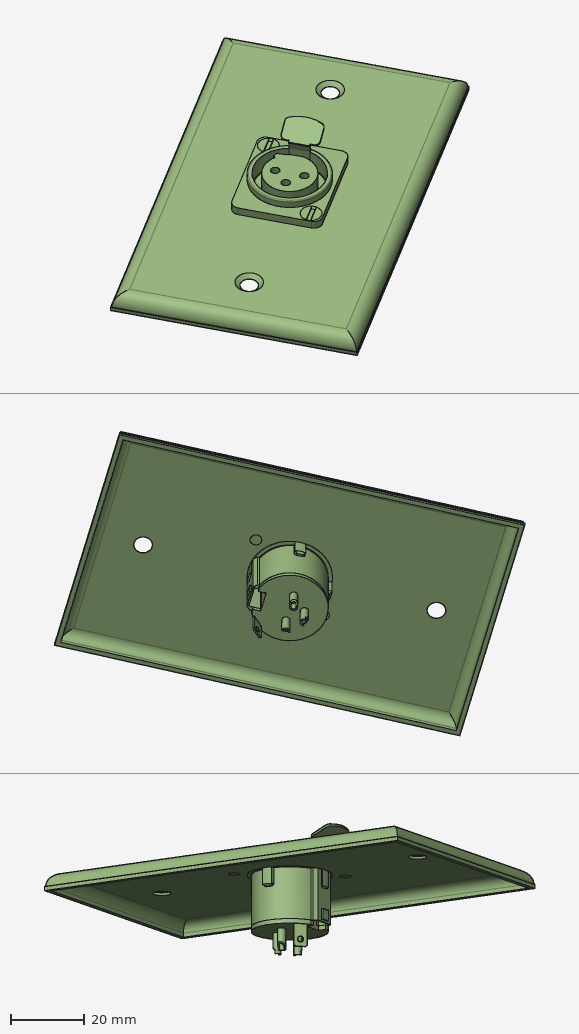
import cadquery as cq
import math

PLATE_X = 69.8
PLATE_Y = 114.3
PLATE_TOP = 5.1
WALL = 1.1
RIM_BAND = 1.1
RIM_LEDGE = 0.2
PLATE_UNDERSIDE = PLATE_TOP - WALL
MOUNT_Y = 41.4
MOUNT_BORE_R = 2.5
MOUNT_SINK_R = 3.9

FLANGE_X = 25.6
FLANGE_Y = 30.4
FLANGE_CORNER_R = 2.4
FLANGE_THICKNESS = 2.4
FLANGE_TOP = PLATE_TOP + FLANGE_THICKNESS
RING_HEIGHT = 2.3
RING_TOP = FLANGE_TOP + RING_HEIGHT
RING_R = 11.7
RING_EDGE_FILLET = 0.3
BORE_R = 10.3
BARREL_R = 10.5
BARREL_BOTTOM = -10.5
LUG_WIDTH = 3.0
LUG_BOTTOM = -1.1
LUG_CHAMFER = 0.6

CHANNEL_X = 8.5
CHANNEL_Y = 11.2
CHANNEL_CHAMFER = 1.0
NUB_X = 3.0
NUB_Y = 11.7
NUB_TOP = -7.0
NUB_BOTTOM = -10.0
SLOT_X = 6.0
SLOT_NEAR_Y = 7.4
SLOT_FAR_Y = 10.7

INSERT_R = 7.7
CAP_BOTTOM = -11.8
CAP_FLAT_Y = 9.6
KEY_POINTS = [(-3.0, 5.1), (-5.6, 5.1), (-6.2, 5.8), (-5.6, 6.9), (-3.0, 7.1)]
CONTACT_RADIUS = 4.1
CONTACT_ANGLES = (0, 180, 270)
SOCKET_R = 1.3
SOCKET_DEPTH = 5.7
TERMINAL_R = 1.1
TERMINAL_BOTTOM = -17.6
CUP_R = 0.7
CUP_TOP = -14.7
CUP_OPENING_TOP = -15.5

GROUND_X = 6.4
GROUND_Y = 7.5
GROUND_ANGLE = 45
GROUND_WIDTH = 3.8
GROUND_THICKNESS = 0.5
GROUND_BOTTOM = -18.1
GROUND_CHAMFER = 0.5
GROUND_HOLE_R = 0.8
GROUND_HOLE_Z = -16.0

LATCH_THICKNESS = 0.7
STEM_X = SLOT_X
STEM_BOTTOM = -5.7
STEM_LEAN_Y = 0.5
BEND_Z = 12.2
CATCH_X = 3.8
CATCH_NEAR_Y = 8.9
CATCH_TOP = 2.3
CATCH_HEIGHT = 1.1
TAB_X = 11.1
TAB_NECK = 0.6
TAB_SIDE_END = 7.0
TAB_TIP = 8.2
TAB_ANGLE = 24.5
TAB_CORNER_R = 1.5

SCREW_X = 9.4
SCREW_Y = 12.0
SCREW_PLACES = [(-SCREW_X, SCREW_Y), (SCREW_X, -SCREW_Y)]
SCREW_HEAD_R = 3.0
SCREW_SHANK_R = 1.6
SCREW_CONE_HEIGHT = SCREW_HEAD_R - SCREW_SHANK_R
SCREW_SLOT_WIDTH = 1.3
SCREW_SLOT_DEPTH = 0.6


def cylinder(radius, bottom, top, x=0, y=0):
    return cq.Workplane("XY", origin=(x, y, bottom)).circle(radius).extrude(top - bottom)


def block(x_range, y_range, z_range):
    sizes = [high - low for low, high in (x_range, y_range, z_range)]
    corner = (x_range[0], y_range[0], z_range[0])
    return cq.Workplane("XY").box(*sizes, centered=False).translate(corner)


def centred_range(width):
    return (-width / 2, width / 2)


def rounded_bar(plane, width, top, length):
    """A long bar with upright lower sides and quarter-round upper edges."""
    half = width / 2
    radius = top - RIM_BAND
    flat_x = half - radius
    mid_x = flat_x + radius * math.cos(math.pi / 4)
    mid_z = RIM_BAND + radius * math.sin(math.pi / 4)
    return (
        cq.Workplane(plane)
        .moveTo(-half, 0)
        .lineTo(half, 0)
        .lineTo(half, RIM_BAND)
        .threePointArc((mid_x, mid_z), (flat_x, top))
        .lineTo(-flat_x, top)
        .threePointArc((-mid_x, mid_z), (-half, RIM_BAND))
        .close()
        .extrude(length / 2, both=True)
    )


def domed_panel(inset, top):
    """A panel with rounded rims and mitred corners, set in from the plate's outer edge."""
    size_x = PLATE_X - 2 * inset
    size_y = PLATE_Y - 2 * inset
    across = rounded_bar("XZ", size_x, top, size_y)
    along = rounded_bar("YZ", size_y, top, size_x)
    return across.intersect(along)


def make_plate():
    rim = block(centred_range(PLATE_X), centred_range(PLATE_Y), (0, RIM_BAND))
    plate = rim.union(domed_panel(RIM_LEDGE, PLATE_TOP))
    plate = plate.cut(domed_panel(RIM_LEDGE + WALL, PLATE_UNDERSIDE))
    plate = plate.cut(cylinder(RING_R, 0, PLATE_TOP))
    for y in (-MOUNT_Y, MOUNT_Y):
        cone = cq.Solid.makeCone(MOUNT_BORE_R, MOUNT_SINK_R, WALL, pnt=cq.Vector(0, y, PLATE_UNDERSIDE))
        plate = plate.cut(cq.Workplane(cone))
    for x, y in SCREW_PLACES:
        plate = plate.cut(cylinder(SCREW_SHANK_R, PLATE_UNDERSIDE, PLATE_TOP, x, y))
    return plate


def screw_blank(x, y):
    """Countersunk head flush with the flange, and a shank through the plate."""
    cone_bottom = FLANGE_TOP - SCREW_CONE_HEIGHT
    cone = cq.Solid.makeCone(SCREW_SHANK_R, SCREW_HEAD_R, SCREW_CONE_HEIGHT, pnt=cq.Vector(x, y, cone_bottom))
    return cylinder(SCREW_SHANK_R, PLATE_UNDERSIDE, cone_bottom, x, y).union(cq.Workplane(cone))


def make_screw(x, y):
    slot = block(
        centred_range(SCREW_SLOT_WIDTH),
        centred_range(2 * SCREW_HEAD_R),
        (FLANGE_TOP - SCREW_SLOT_DEPTH, FLANGE_TOP),
    )
    return screw_blank(x, y).cut(slot.translate((x, y, 0)))


def make_lug():
    """A rib on the -Y side of the barrel with a tapered lower end."""
    lug = block(centred_range(LUG_WIDTH), (-RING_R, -INSERT_R), (LUG_BOTTOM, PLATE_UNDERSIDE))
    lug = lug.faces("<Z").edges("|Y or <Y").chamfer(LUG_CHAMFER)
    return lug.intersect(cylinder(RING_R, LUG_BOTTOM, PLATE_UNDERSIDE))


def make_channel():
    """The box on the +Y side of the barrel that encloses the latch."""
    channel = block(centred_range(CHANNEL_X), (0, CHANNEL_Y), (BARREL_BOTTOM, PLATE_UNDERSIDE))
    channel = channel.edges("|Z and >Y").chamfer(CHANNEL_CHAMFER)
    nub = block(centred_range(NUB_X), (SLOT_FAR_Y, NUB_Y), (NUB_BOTTOM, NUB_TOP))
    return channel.union(nub)


def latch_slot():
    return block(centred_range(SLOT_X), (SLOT_NEAR_Y, SLOT_FAR_Y), (CAP_BOTTOM, RING_TOP))


def make_housing():
    flange = (
        cq.Workplane("XY", origin=(0, 0, PLATE_TOP))
        .rect(FLANGE_X, FLANGE_Y)
        .extrude(FLANGE_THICKNESS)
        .edges("|Z")
        .fillet(FLANGE_CORNER_R)
    )
    ring = cylinder(RING_R, PLATE_UNDERSIDE, RING_TOP).faces(">Z").edges().fillet(RING_EDGE_FILLET)
    barrel = cylinder(BARREL_R, BARREL_BOTTOM, PLATE_UNDERSIDE)
    housing = flange.union(ring).union(barrel).union(make_channel())
    for quarter in range(4):
        housing = housing.union(make_lug().rotate((0, 0, 0), (0, 0, 1), 90 * quarter))
    housing = housing.cut(cylinder(BORE_R, PLATE_UNDERSIDE, RING_TOP))
    housing = housing.cut(cylinder(INSERT_R, BARREL_BOTTOM, PLATE_UNDERSIDE))
    housing = housing.cut(latch_slot())
    for x, y in SCREW_PLACES:
        housing = housing.cut(screw_blank(x, y))
    return housing


def make_terminal():
    """A solder cup on the +X side, its lower end cut open outward."""
    terminal = cylinder(TERMINAL_R, TERMINAL_BOTTOM, CAP_BOTTOM)
    terminal = terminal.cut(cylinder(CUP_R, TERMINAL_BOTTOM, CUP_TOP))
    opening = (
        cq.Workplane("XZ")
        .moveTo(0, TERMINAL_BOTTOM)
        .lineTo(TERMINAL_R, TERMINAL_BOTTOM)
        .lineTo(TERMINAL_R, CUP_OPENING_TOP)
        .lineTo(0, CUP_OPENING_TOP - TERMINAL_R)
        .close()
        .extrude(TERMINAL_R, both=True)
    )
    return terminal.cut(opening).translate((CONTACT_RADIUS, 0, 0))


def make_ground_tab():
    tab = block(centred_range(GROUND_THICKNESS), centred_range(GROUND_WIDTH), (GROUND_BOTTOM, CAP_BOTTOM))
    tab = tab.faces("<Z").edges("|X").chamfer(GROUND_CHAMFER)
    hole = (
        cq.Workplane("YZ", origin=(0, 0, GROUND_HOLE_Z))
        .circle(GROUND_HOLE_R)
        .extrude(GROUND_THICKNESS / 2, both=True)
    )
    tab = tab.cut(hole).rotate((0, 0, 0), (0, 0, 1), GROUND_ANGLE)
    return tab.translate((GROUND_X, GROUND_Y, 0))


def make_insert():
    core = cylinder(INSERT_R, CAP_BOTTOM, RING_TOP)
    key = (
        cq.Workplane("XY", origin=(0, 0, PLATE_UNDERSIDE))
        .polyline(KEY_POINTS)
        .close()
        .extrude(RING_TOP - PLATE_UNDERSIDE)
    )
    cap = cylinder(BARREL_R, CAP_BOTTOM, BARREL_BOTTOM)
    cap = cap.cut(block(centred_range(2 * BARREL_R), (CAP_FLAT_Y, BARREL_R), (CAP_BOTTOM, BARREL_BOTTOM)))
    insert = core.union(key).union(cap).cut(latch_slot())
    socket = cylinder(SOCKET_R, RING_TOP - SOCKET_DEPTH, RING_TOP, CONTACT_RADIUS)
    for angle in CONTACT_ANGLES:
        insert = insert.cut(socket.rotate((0, 0, 0), (0, 0, 1), angle))
        insert = insert.union(make_terminal().rotate((0, 0, 0), (0, 0, 1), angle))
    return insert.union(make_ground_tab())


def make_latch():
    """A strip standing in the slot, bent outward at its top into a push tab."""
    near_y = SLOT_FAR_Y - LATCH_THICKNESS
    stem = (
        cq.Workplane("YZ")
        .moveTo(SLOT_FAR_Y, STEM_BOTTOM)
        .lineTo(SLOT_FAR_Y, RING_TOP)
        .lineTo(SLOT_FAR_Y - STEM_LEAN_Y, BEND_Z)
        .lineTo(near_y - STEM_LEAN_Y, BEND_Z)
        .lineTo(near_y, RING_TOP)
        .lineTo(near_y, STEM_BOTTOM)
        .close()
        .extrude(STEM_X / 2, both=True)
    )
    catch = block(centred_range(CATCH_X), (CATCH_NEAR_Y, near_y), (CATCH_TOP - CATCH_HEIGHT, CATCH_TOP))
    half = TAB_X / 2
    tab = (
        cq.Workplane("XY")
        .moveTo(-half, TAB_NECK)
        .lineTo(half, TAB_NECK)
        .lineTo(half, TAB_SIDE_END)
        .threePointArc((0, TAB_TIP), (-half, TAB_SIDE_END))
        .close()
        .extrude(LATCH_THICKNESS)
        .edges("|Z")
        .fillet(TAB_CORNER_R)
    )
    neck = block(centred_range(STEM_X), (0, TAB_NECK + TAB_CORNER_R), (0, LATCH_THICKNESS))
    tab = tab.union(neck).rotate((0, 0, 0), (1, 0, 0), TAB_ANGLE)
    tab = tab.translate((0, near_y - STEM_LEAN_Y, BEND_Z - LATCH_THICKNESS / 2))
    return stem.union(catch).union(tab)


plate = make_plate()
housing = make_housing()
insert = make_insert()
latch = make_latch()
screws = [make_screw(x, y) for x, y in SCREW_PLACES]

result = cq.Compound.makeCompound(
    [plate.val(), housing.val(), insert.val(), latch.val(), *[screw.val() for screw in screws]]
)